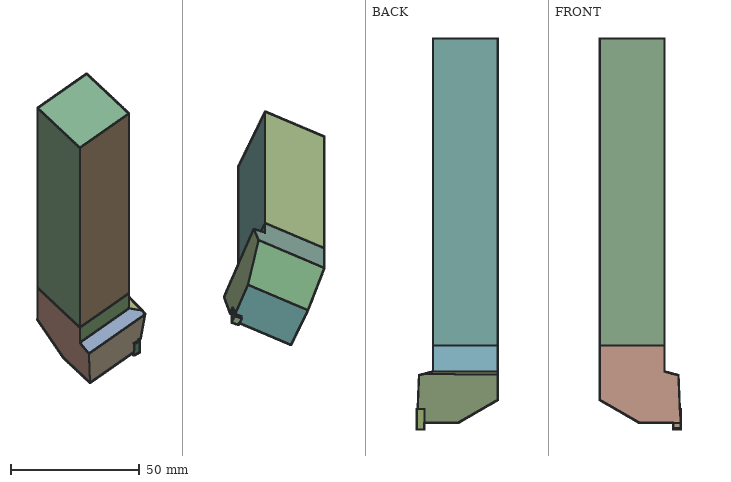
import cadquery as cq
import math


total_height = 152.4
shank_side = 25.3
shank_bottom = 32.8

head_bottom = 2.6
shoulder_z = 22.7
shoulder_angle = 15.0
shoulder_x = 30.8
head_width = 31.5
corner_angle = 30.0
corner_length = 15.5

front_lean = 0.2
back_peak = 30.2
back_bottom = 26.2
back_skew = 2.3

insert_width = 3.0
insert_right = 31.7
insert_top = 8.1
rake_y = shank_side
insert_bottom_depth = 3.0
insert_lean = 0.5
front_relief = 0.6

shoulder_slope = math.tan(math.radians(shoulder_angle))
corner_height = corner_length * math.tan(math.radians(corner_angle))
side_shoulder_z = shoulder_z - (shoulder_x - shank_side) * shoulder_slope
back_shoulder_z = shoulder_z - (back_peak - shank_side) * shoulder_slope
insert_left = insert_right - insert_width
insert_front = rake_y - insert_bottom_depth
clearance = 7.6


def make_shank():
    height = total_height - shank_bottom
    return (
        cq.Workplane("XY", origin=(0, 0, shank_bottom))
        .rect(shank_side, shank_side, centered=False)
        .extrude(height)
    )


def extrude_side_outline():
    """Head outline in XZ, extruded well past both faces along Y."""
    return (
        cq.Workplane("XZ", origin=(0, back_peak + clearance, 0))
        .polyline([
            (0, shank_bottom),
            (shank_side, shank_bottom),
            (shank_side, shoulder_z),
            (shoulder_x, side_shoulder_z),
            (head_width, head_bottom),
            (corner_length, head_bottom),
            (0, head_bottom + corner_height),
        ])
        .close()
        .extrude(back_peak + 2 * clearance)
    )


def extrude_depth_outline():
    """Head outline in YZ, with the back still square to its shoulder."""
    return (
        cq.Workplane("YZ")
        .polyline([
            (0, shank_bottom),
            (shank_side, shank_bottom),
            (shank_side, shoulder_z),
            (back_peak, back_shoulder_z),
            (back_peak, head_bottom),
            (-front_lean, head_bottom),
        ])
        .close()
        .extrude(head_width)
    )


def make_back_cutter():
    """Block behind the back face, which leans in downward and towards +X."""
    far_y = back_peak + clearance
    return (
        cq.Workplane("YZ", origin=(-clearance, 0, 0))
        .polyline([
            (back_peak, shank_bottom),
            (back_peak, back_shoulder_z),
            (back_bottom, head_bottom),
            (far_y, head_bottom),
            (far_y, shank_bottom),
        ])
        .close()
        .extrude(head_width + 2 * clearance)
        .rotate((0, back_peak, 0), (0, back_peak, 1), -back_skew)
    )


def make_insert_seat():
    """Notch for the insert, open to the back, the right and the bottom."""
    return (
        cq.Workplane("YZ", origin=(insert_left, 0, 0))
        .polyline([
            (insert_front, front_relief),
            (insert_front + insert_lean, insert_top),
            (rake_y + clearance, insert_top),
            (rake_y + clearance, front_relief),
        ])
        .close()
        .extrude(insert_width)
    )


def make_head():
    blank = extrude_side_outline().intersect(extrude_depth_outline())
    return blank.cut(make_back_cutter()).cut(make_insert_seat())


def make_insert():
    return (
        cq.Workplane("YZ", origin=(insert_left, 0, 0))
        .polyline([
            (rake_y, 0),
            (insert_front, front_relief),
            (insert_front + insert_lean, insert_top),
            (rake_y, insert_top),
        ])
        .close()
        .extrude(insert_width)
    )


shank = make_shank()
head = make_head()
insert = make_insert()

result = cq.Compound.makeCompound([shank.val(), head.solids().val(), insert.val()])